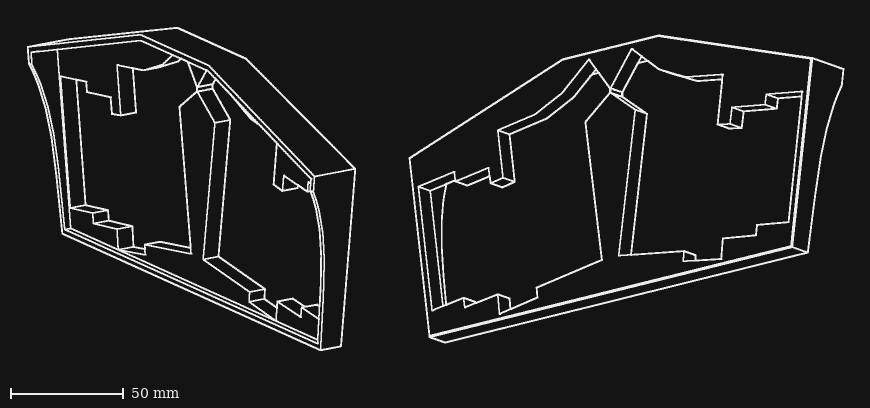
import cadquery as cq

width = 233.2
height = 113.5
bottom_width = 209.8
top_width = 55.5
shoulder_height = 85.3

top_depth = 20.0
shoulder_depth = 22.0
bottom_depth = 11.2
plate_depth = 8.2

wall = 2.5
back_chamfer = 0.5
brow_bottom = 77.9

post_neck_half = 0.2
neck_top = 94.5
neck_bottom = 92.3
window_points = [
    (12.4, 110.3),
    (post_neck_half, neck_top),
    (post_neck_half, neck_bottom),
    (14.5, 81.5),
    (5.0, 15.9),
    (42.7, 10.5),
    (42.2, 5.8),
    (64.0, 2.5),
    (65.0, 12.0),
    (84.2, 9.5),
    (84.9, 14.2),
    (103.0, 12.0),
    (111.0, 70.9),
    (90.2, 73.7),
    (89.5, 69.0),
    (70.5, 71.5),
    (69.2, 64.0),
    (62.0, 65.3),
    (65.0, 88.0),
    (43.5, 91.0),
    (28.0, 97.7),
]

front_curve = [(17.7, 67.4), (12.8, 40.8), (bottom_depth, 0)]


def outline(depth):
    """Symmetric six-sided outline at a given depth in front of the back face."""
    right = [
        (bottom_width / 2, 0),
        (width / 2, shoulder_height),
        (top_width / 2, height),
    ]
    left = [(-x, z) for x, z in reversed(right)]
    return cq.Workplane("XZ", origin=(0, -depth, 0)).polyline(right + left).close()


def depth_envelope():
    """Side profile that gives the walls their varying depth."""
    curve = [(-depth, z) for depth, z in front_curve]
    return (
        cq.Workplane("YZ")
        .moveTo(0, 0)
        .lineTo(0, height)
        .lineTo(-top_depth, height)
        .lineTo(-shoulder_depth, shoulder_height)
        .lineTo(-shoulder_depth, brow_bottom)
        .spline(curve, includeCurrent=True)
        .close()
        .extrude(width / 2, both=True)
    )


def window(side):
    """Cutter for the window on one side (+1 or -1) of the mid-plane."""
    points = [(side * x, z) for x, z in window_points]
    return cq.Workplane("XZ").polyline(points).close().extrude(plate_depth)


body = outline(0).extrude(shoulder_depth).faces(">Y").edges().chamfer(back_chamfer)
body = body.intersect(depth_envelope())

cavity = outline(plate_depth).offset2D(-wall).extrude(shoulder_depth - plate_depth)
body = body.cut(cavity)

for side in (1, -1):
    body = body.cut(window(side))

result = body